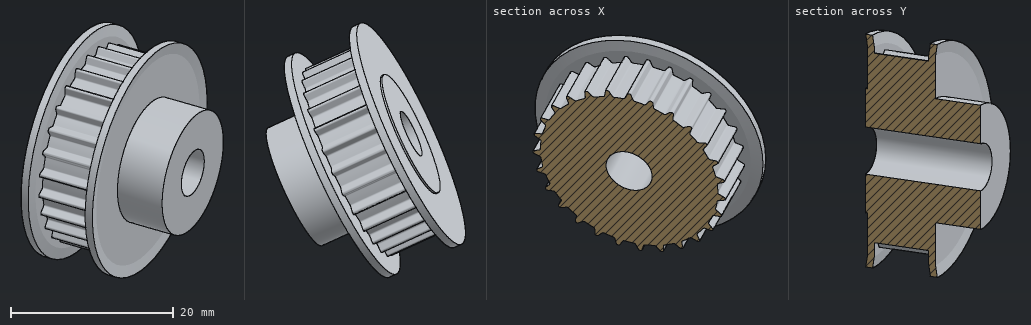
import cadquery as cq
import math


PULLEY_WIDTH = 10.0
TOTAL_LENGTH = 16.0
SHEET_THICKNESS = 1.02
DISH_DEPTH = 0.245

FLANGE_RADIUS = 15.0
FLANGE_FLAT_RADIUS = 13.5
HUB_RADIUS = 8.0
BORE_RADIUS = 3.0
TIP_RADIUS = 12.7
ROOT_RADIUS = 11.7

TOOTH_COUNT = 27
ROOT_HALF_WIDTH = 0.765
FLANK_ANGLE = 28.0
TOOTH_FILLET = 0.25

PITCH_ANGLE = 2 * math.pi / TOOTH_COUNT
FLANGE_INNER_FACE = DISH_DEPTH + SHEET_THICKNESS


def polar_point(radius, angle):
    """Point in the YZ plane, with the angle measured from +Z toward +Y."""
    return (radius * math.sin(angle), radius * math.cos(angle))


def groove_half_angles():
    """Angles from the groove centre line to the flank ends at the root and the tip."""
    root_angle = math.asin(ROOT_HALF_WIDTH / ROOT_RADIUS)
    flank = math.radians(FLANK_ANGLE)
    flank_offset = ROOT_RADIUS * math.sin(flank - root_angle)
    tip_angle = flank - math.asin(flank_offset / TIP_RADIUS)
    return root_angle, tip_angle


def toothed_ring():
    """Toothed body between the flanges, with one tooth centred on +Z."""
    root_angle, tip_angle = groove_half_angles()
    half_pitch = PITCH_ANGLE / 2
    profile = cq.Workplane("YZ", origin=(FLANGE_INNER_FACE, 0, 0))
    profile = profile.moveTo(*polar_point(TIP_RADIUS, tip_angle - half_pitch))
    for tooth in range(TOOTH_COUNT):
        tooth_centre = tooth * PITCH_ANGLE
        groove_centre = tooth_centre + half_pitch
        profile = (
            profile
            .threePointArc(
                polar_point(TIP_RADIUS, tooth_centre),
                polar_point(TIP_RADIUS, groove_centre - tip_angle),
            )
            .lineTo(*polar_point(ROOT_RADIUS, groove_centre - root_angle))
            .threePointArc(
                polar_point(ROOT_RADIUS, groove_centre),
                polar_point(ROOT_RADIUS, groove_centre + root_angle),
            )
            .lineTo(*polar_point(TIP_RADIUS, groove_centre + tip_angle))
        )
    ring = profile.close().extrude(PULLEY_WIDTH - 2 * FLANGE_INNER_FACE)
    return ring.edges("|X").fillet(TOOTH_FILLET)


def left_flange():
    """Flange of constant axial thickness whose rim is dished away from the teeth."""
    return (
        cq.Workplane("XY")
        .moveTo(DISH_DEPTH, 0)
        .lineTo(DISH_DEPTH, FLANGE_FLAT_RADIUS)
        .lineTo(0, FLANGE_RADIUS)
        .lineTo(SHEET_THICKNESS, FLANGE_RADIUS)
        .lineTo(FLANGE_INNER_FACE, FLANGE_FLAT_RADIUS)
        .lineTo(FLANGE_INNER_FACE, 0)
        .close()
        .revolve(360, (0, 0, 0), (1, 0, 0))
    )


def x_cylinder(radius, start, end):
    """Solid cylinder along the X axis."""
    return cq.Workplane("YZ", origin=(start, 0, 0)).circle(radius).extrude(end - start)


flange = left_flange()
opposite_flange = flange.mirror("YZ").translate((PULLEY_WIDTH, 0, 0))
hub = x_cylinder(HUB_RADIUS, 0, TOTAL_LENGTH)
bore = x_cylinder(BORE_RADIUS, 0, TOTAL_LENGTH)

result = toothed_ring().union(flange).union(opposite_flange).union(hub).cut(bore)